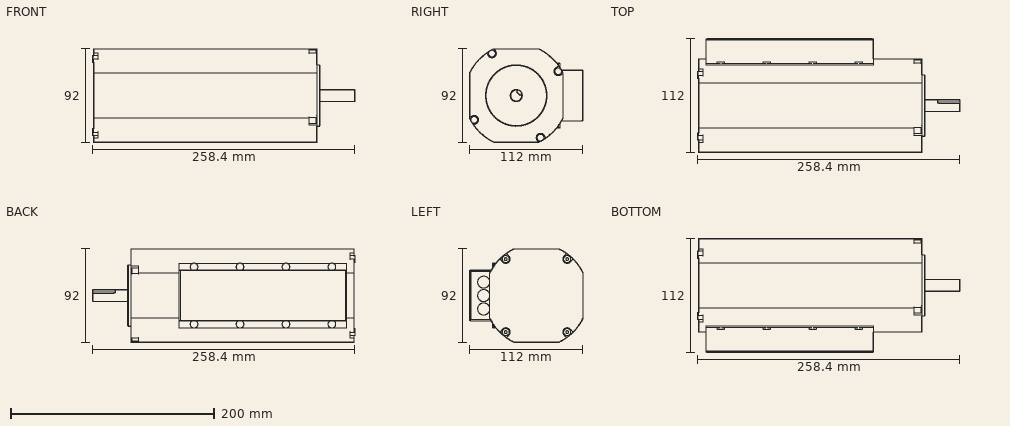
import cadquery as cq
import math


body_length = 219.6
body_width = 92.0
body_corner_diameter = 102.0

pilot_diameter = 60.5
pilot_length = 3.0
pilot_chamfer = 0.5
shaft_diameter = 12.0
shaft_end = 257.4
shaft_chamfer = 0.5

keyway_width = 5.0
keyway_depth = 3.0
keyway_length = 22.5
keyway_turn = 45.0

pocket_width = 8.5
pocket_reach = body_corner_diameter / 2

rear_head_diameter = 7.0
rear_screw_y = 30.2
rear_screw_z = 36.0
rear_pocket_depth = 4.1
rear_head_proud = 1.0
hex_size = 2.5
hex_depth = 1.5
hex_tip_depth = 0.8

front_head_diameter = 6.7
front_screw_circle_radius = 47.8
front_screw_angle = 30.0
front_pocket_depth = 7.5
front_head_height = 6.5

box_start = 7.2
box_length = 164.9
box_width = 50.1
overall_depth = 112.0
box_top = overall_depth - body_width / 2
box_wall = 1.5
lid_chamfer_height = 1.3
lid_chamfer_run = 0.5
panel_recess = 0.3

cable_hole_diameter = 12.0
cable_hole_pitch = 13.2
cable_hole_y = 52.0

plate_width = 63.5
plate_bottom = 39.5
plate_top = 41.5
plate_head_diameter = 7.5
plate_head_height = 1.5
plate_head_rounding = 0.8
plate_head_count = 4
plate_head_pitch = 45.2
plate_head_z = 28.2


def block(x_range, y_range, z_width):
    """Box spanning the given X and Y ranges, centred on Z = 0."""
    size_x = x_range[1] - x_range[0]
    size_y = y_range[1] - y_range[0]
    solid = cq.Workplane("XY").box(size_x, size_y, z_width, centered=(False, False, True))
    return solid.translate((x_range[0], y_range[0], 0))


def rod(diameter, x_start, x_end, y=0.0, z=0.0):
    """Cylinder parallel to X."""
    disc = cq.Workplane("YZ", origin=(x_start, y, z)).circle(diameter / 2)
    return disc.extrude(x_end - x_start)


def corner_pocket(x_start, depth, y, z):
    """Pocket round a screw at (y, z), running radially out of the housing."""
    bore = rod(pocket_width, x_start, x_start + depth, y, z)
    radius = math.hypot(y, z)
    channel = block((x_start, x_start + depth), (radius, radius + pocket_reach), pocket_width)
    channel = channel.rotate((0, 0, 0), (1, 0, 0), math.degrees(math.atan2(z, y)))
    return bore.union(channel)


def make_housing():
    """Square housing with corners rounded about the motor axis and a flat seat for the box."""
    square = block((0, body_length), (-body_width / 2, body_width / 2), body_width)
    seat = block((box_start, box_start + box_length), (plate_top, body_width), body_width)
    return square.intersect(rod(body_corner_diameter, 0, body_length)).cut(seat)


def make_shaft():
    """Chamfered shaft with a keyway that has a rounded inner end."""
    shaft = rod(shaft_diameter, body_length, shaft_end).faces(">X").chamfer(shaft_chamfer)
    floor = shaft_diameter / 2 - keyway_depth
    end_centre = shaft_end - keyway_length + keyway_width / 2
    sketch = cq.Workplane("XY", origin=(0, 0, floor))
    rounded_end = sketch.center(end_centre, 0).circle(keyway_width / 2).extrude(shaft_diameter)
    straight = (
        sketch.center(end_centre, 0)
        .rect(keyway_length, keyway_width, centered=(False, True))
        .extrude(shaft_diameter)
    )
    keyway = rounded_end.union(straight).rotate((0, 0, 0), (1, 0, 0), -keyway_turn)
    return shaft.cut(keyway)


def make_rear_screw(y, z):
    """Rear cap screw with a hexagon socket ending in a drill point."""
    head = rod(rear_head_diameter, -rear_head_proud, rear_pocket_depth, y, z)
    sketch = cq.Workplane("YZ", origin=(-rear_head_proud, y, z))
    socket = sketch.polygon(6, hex_size, circumscribed=True).extrude(hex_depth)
    tip_start = cq.Vector(hex_depth - rear_head_proud, y, z)
    tip = cq.Solid.makeCone(hex_size / 2, 0, hex_tip_depth, tip_start, cq.Vector(1, 0, 0))
    return head.cut(socket).cut(cq.Workplane(tip))


def make_connection_box():
    """Hollow box with chamfered top edges, a recessed rear panel and cable holes."""
    bottom = plate_bottom
    box_end = box_start + box_length
    shell = block((box_start, box_end), (bottom, box_top), box_width)
    shell = shell.faces(">Y").edges().chamfer(lid_chamfer_run, lid_chamfer_height)
    cavity = block(
        (box_start + box_wall, box_end - box_wall),
        (bottom, box_top - box_wall),
        box_width - 2 * box_wall,
    )
    recess = block(
        (box_start, box_start + panel_recess),
        (bottom, box_top - lid_chamfer_height),
        box_width - 2 * box_wall,
    )
    shell = shell.cut(cavity).cut(recess)
    for step in (-1, 0, 1):
        hole_z = step * cable_hole_pitch
        shell = shell.cut(
            rod(cable_hole_diameter, box_start, box_start + box_wall, cable_hole_y, hole_z)
        )
    return shell


def make_mounting_plate():
    """Plate under the box with a row of screw heads along both long edges."""
    plate = block((box_start, box_start + box_length), (plate_bottom, plate_top), plate_width)
    first_x = box_start + box_length / 2 - plate_head_pitch * (plate_head_count - 1) / 2
    for index in range(plate_head_count):
        for side in (-1, 1):
            centre = cq.Vector(first_x + index * plate_head_pitch, plate_bottom, side * plate_head_z)
            height = plate_top - plate_bottom + plate_head_height
            head = cq.Solid.makeCylinder(plate_head_diameter / 2, height, centre, cq.Vector(0, 1, 0))
            head = cq.Workplane(head).faces(">Y").edges().fillet(plate_head_rounding)
            plate = plate.union(head)
    return plate


result = make_housing()
result = result.union(make_mounting_plate())
result = result.union(make_connection_box())

for y_side in (-1, 1):
    for z_side in (-1, 1):
        screw_y = y_side * rear_screw_y
        screw_z = z_side * rear_screw_z
        result = result.cut(corner_pocket(0, rear_pocket_depth, screw_y, screw_z))
        result = result.union(make_rear_screw(screw_y, screw_z))

front_pocket_start = body_length - front_pocket_depth
for quarter in range(4):
    angle = math.radians(front_screw_angle + 90 * quarter)
    screw_y = front_screw_circle_radius * math.cos(angle)
    screw_z = front_screw_circle_radius * math.sin(angle)
    head_end = front_pocket_start + front_head_height
    result = result.cut(corner_pocket(front_pocket_start, front_pocket_depth, screw_y, screw_z))
    result = result.union(rod(front_head_diameter, front_pocket_start, head_end, screw_y, screw_z))

pilot = rod(pilot_diameter, body_length, body_length + pilot_length)
pilot = pilot.faces(">X").chamfer(pilot_chamfer)
result = result.union(pilot).union(make_shaft())